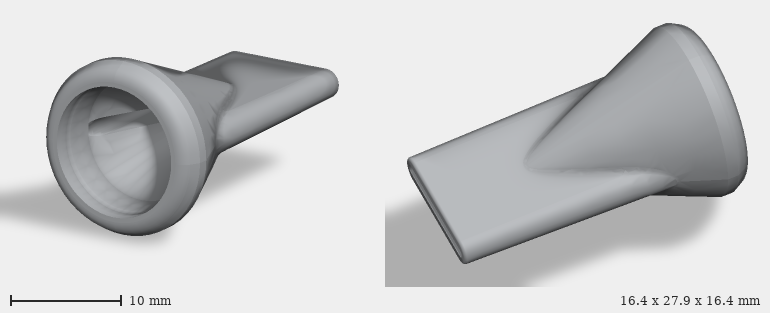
import cadquery as cq
import math

LENGTH = 27.92

rim_radius = 8.2
rim_face_radius = 6.6
rim_chamfer_radius = 7.73
rim_chamfer_front = 0.7
rim_band_front = 1.6
rim_band_back = 2.62
funnel_slope = 0.41
seam_angle = 225.0

blade_edge_spacing = 9.55
blade_start = 5.58
blade_start_half_thickness = 1.75
blade_tip_half_thickness = 1.37
blade_tip_round = 0.28
junction_fillet = 0.73

bore_radius = 6.15
bore_depth = 1.54
seat_radius = 6.03
seat_depth = 2.05
throat_radius = 5.72
throat_depth = 4.55

slot_edge_spacing = 10.05
slot_tip_half_height = 0.47
slot_draft = 1.0


def revolve_about_y(profile):
    solid = profile.close().revolve(360, (0, 0, 0), (0, 1, 0))
    return solid.rotate((0, 0, 0), (0, 1, 0), seam_angle)


def tapered_stadium(edge_spacing, tip_half_height, start, draft):
    """Stadium bar from Y = start to the outlet; its edge centres stay parallel."""
    run = LENGTH - start
    start_half_height = tip_half_height + run * math.tan(math.radians(draft))
    return (
        cq.Workplane("XZ", origin=(0, start, 0))
        .slot2D(edge_spacing + 2 * start_half_height, 2 * start_half_height)
        .extrude(-run, taper=draft)
    )


def outer_funnel():
    apex = rim_band_back + rim_radius / funnel_slope
    profile = (
        cq.Workplane("ZY")
        .moveTo(0, apex)
        .lineTo(rim_radius, rim_band_back)
        .lineTo(rim_radius, rim_band_front)
        .lineTo(rim_chamfer_radius, rim_chamfer_front)
        .tangentArcPoint((rim_face_radius, 0), relative=False)
        .lineTo(0, 0)
    )
    return revolve_about_y(profile)


def blade():
    run = LENGTH - blade_start
    thinning = blade_start_half_thickness - blade_tip_half_thickness
    draft = math.degrees(math.atan(thinning / run))
    return tapered_stadium(blade_edge_spacing, blade_tip_half_thickness, blade_start, draft)


def outer_body():
    """Funnel and blade, blended in one quarter and mirrored about the two symmetry planes."""
    quarter_space = cq.Workplane("XY").box(LENGTH, LENGTH, LENGTH, centered=False)
    quarter = outer_funnel().union(blade()).intersect(quarter_space)
    junction = cq.selectors.BoxSelector(
        (-0.28, blade_start, 0.28),
        (rim_radius, LENGTH - blade_tip_round, rim_radius),
    )
    curved = [edge for edge in quarter.edges().vals() if edge.geomType() in ("HYPERBOLA", "BSPLINE")]
    quarter = quarter.newObject(junction.filter(curved)).fillet(junction_fillet)
    half = quarter.union(quarter.mirror("YZ"))
    body = half.union(half.mirror("XY"))
    return body.faces(">Y").edges().fillet(blade_tip_round)


def inner_cavity():
    apex = throat_depth + throat_radius / funnel_slope
    profile = (
        cq.Workplane("ZY")
        .moveTo(0, 0)
        .lineTo(bore_radius, 0)
        .lineTo(bore_radius, bore_depth)
        .lineTo(seat_radius, seat_depth)
        .lineTo(throat_radius, throat_depth)
        .lineTo(0, apex)
    )
    return revolve_about_y(profile)


slot = tapered_stadium(slot_edge_spacing, slot_tip_half_height, throat_depth, slot_draft)
result = outer_body().cut(inner_cavity()).cut(slot)